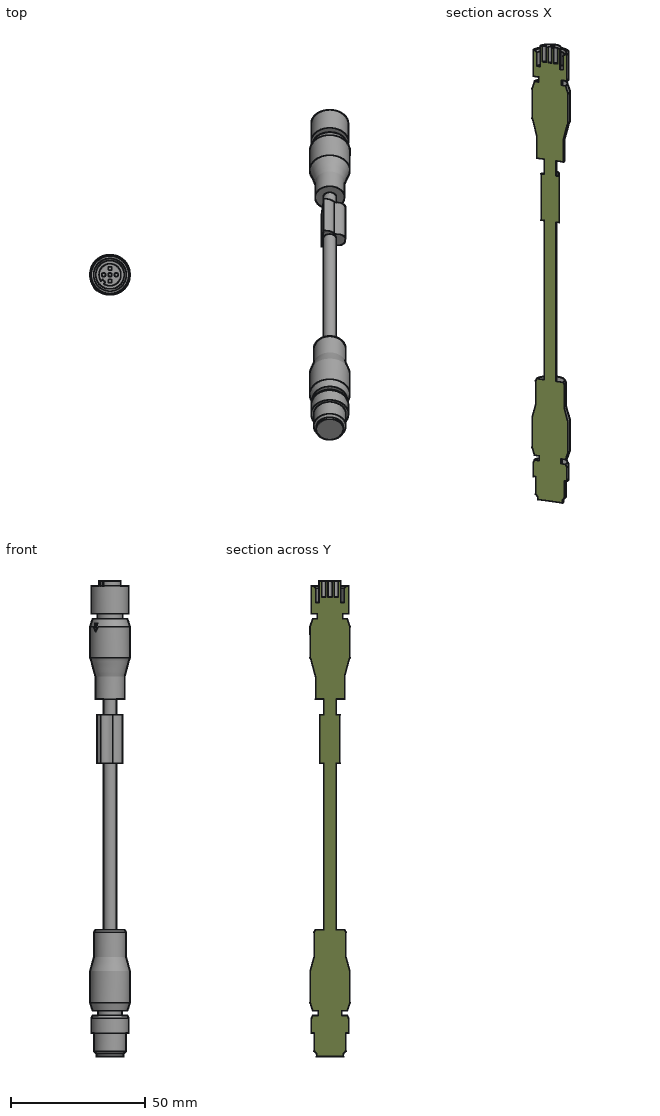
import cadquery as cq
import math

TOTAL_LENGTH = 177.31
BODY_RADIUS = 14.99 / 2
NUT_RADIUS = 7.0
SHOULDER_RADIUS = 6.5
PLUG_NECK_RADIUS = 4.5
SOCKET_NECK_RADIUS = 4.8
CABLE_RADIUS = 2.5

PLUG_TIP_RADIUS = 5.1
PLUG_THREAD_RADIUS = 6.0
PLUG_TAIL_RADIUS = 6.0
PLUG_TAIL_CHAMFER_HEIGHT = 0.9
PLUG_TAIL_CHAMFER_INSET = 0.5
PLUG_TIP_TOP = 1.1
PLUG_THREAD_BOTTOM = 2.0
PLUG_NUT_BOTTOM = 8.8
PLUG_NUT_CHAMFER_BOTTOM = 14.3
PLUG_NUT_TOP = 15.4
PLUG_BODY_BOTTOM = 17.1
PLUG_GRIP_BOTTOM = 20.1
PLUG_GRIP_TOP = 31.9
PLUG_TAIL_BOTTOM = 37.2
PLUG_TOP = 47.3

INSERT_RADIUS = 4.1
INSERT_PROUD = 1.9
SOCKET_NUT_BOTTOM = 12.3
SOCKET_BODY_TOP = 14.1
SOCKET_GRIP_TOP = 17.1
SOCKET_GRIP_BOTTOM = 28.6
SOCKET_TAPER_TOP = 29.6
SOCKET_TAPER_TOP_RADIUS = 7.1
SOCKET_TAPER_BOTTOM = 34.2
SOCKET_TAPER_BOTTOM_RADIUS = 5.9
SOCKET_TAIL_TOP = 35.6
SOCKET_TAIL_RADIUS = 5.5
SOCKET_BOTTOM = 44.1

MOUTH_RADIUS = 5.3
MOUTH_CHAMFER = 0.8
MOUTH_DEPTH = 8.0

CONTACT_DIAMETER = 1.4
OUTER_CONTACT_COUNT = 4
CONTACT_CIRCLE_RADIUS = 2.35
CONTACT_DEPTH = 6.0

MARK_ANGLE = 225

KEY_WIDTH = 1.5
KEY_DEPTH = 0.9

ARROW_TOP = 15.7
ARROW_HEAD_TOP = 17.4
ARROW_TIP = 18.9
ARROW_STEM_WIDTH = 0.9
ARROW_HEAD_WIDTH = 1.8
ARROW_PROUD = 0.1
ARROW_ROOT_RADIUS = 6.0

SLEEVE_RADIUS = 4.0
SLEEVE_TOP = 49.8
SLEEVE_LENGTH = 18.2
SLEEVE_AXIS_SETBACK = 1.5
SLEEVE_BACK = 2.7
NOSE_RADIUS = 2.75
NOSE_CENTRE = 3.2
NOSE_FLAT = 5.8


def revolve_profile(points):
    """Revolve (radius, z) points, closed along the Z axis."""
    closed = [(0, points[0][1])] + points + [(0, points[-1][1])]
    return cq.Workplane("XZ").polyline(closed).close().revolve(360, (0, 0), (0, 1))


def make_plug():
    return revolve_profile([
        (PLUG_TIP_RADIUS, 0),
        (PLUG_TIP_RADIUS, PLUG_TIP_TOP),
        (PLUG_THREAD_RADIUS, PLUG_THREAD_BOTTOM),
        (PLUG_THREAD_RADIUS, PLUG_NUT_BOTTOM),
        (NUT_RADIUS, PLUG_NUT_BOTTOM),
        (NUT_RADIUS, PLUG_NUT_CHAMFER_BOTTOM),
        (SHOULDER_RADIUS, PLUG_NUT_TOP),
        (PLUG_NECK_RADIUS, PLUG_NUT_TOP),
        (PLUG_NECK_RADIUS, PLUG_BODY_BOTTOM),
        (SHOULDER_RADIUS, PLUG_BODY_BOTTOM),
        (BODY_RADIUS, PLUG_GRIP_BOTTOM),
        (BODY_RADIUS, PLUG_GRIP_TOP),
        (PLUG_TAIL_RADIUS, PLUG_TAIL_BOTTOM),
        (PLUG_TAIL_RADIUS, PLUG_TOP - PLUG_TAIL_CHAMFER_HEIGHT),
        (PLUG_TAIL_RADIUS - PLUG_TAIL_CHAMFER_INSET, PLUG_TOP),
    ])


def make_socket():
    profile = [
        (INSERT_RADIUS, 0),
        (INSERT_RADIUS, MOUTH_DEPTH),
        (MOUTH_RADIUS, MOUTH_DEPTH),
        (MOUTH_RADIUS, INSERT_PROUD + MOUTH_CHAMFER),
        (MOUTH_RADIUS + MOUTH_CHAMFER, INSERT_PROUD),
        (NUT_RADIUS, INSERT_PROUD),
        (NUT_RADIUS, SOCKET_NUT_BOTTOM),
        (SOCKET_NECK_RADIUS, SOCKET_NUT_BOTTOM),
        (SOCKET_NECK_RADIUS, SOCKET_BODY_TOP),
        (SHOULDER_RADIUS, SOCKET_BODY_TOP),
        (BODY_RADIUS, SOCKET_GRIP_TOP),
        (BODY_RADIUS, SOCKET_GRIP_BOTTOM),
        (SOCKET_TAPER_TOP_RADIUS, SOCKET_TAPER_TOP),
        (SOCKET_TAPER_BOTTOM_RADIUS, SOCKET_TAPER_BOTTOM),
        (SOCKET_TAIL_RADIUS, SOCKET_TAIL_TOP),
        (SOCKET_TAIL_RADIUS, SOCKET_BOTTOM),
    ]
    return revolve_profile([(radius, TOTAL_LENGTH - depth) for radius, depth in profile])


def make_contact_holes():
    centres = [(0, 0)]
    for index in range(OUTER_CONTACT_COUNT):
        angle = 2 * math.pi * index / OUTER_CONTACT_COUNT
        x = CONTACT_CIRCLE_RADIUS * math.cos(angle)
        y = CONTACT_CIRCLE_RADIUS * math.sin(angle)
        centres.append((x, y))
    return (
        cq.Workplane("XY", origin=(0, 0, TOTAL_LENGTH))
        .pushPoints(centres)
        .circle(CONTACT_DIAMETER / 2)
        .extrude(-CONTACT_DEPTH)
    )


def make_cable():
    length = TOTAL_LENGTH - SOCKET_BOTTOM - PLUG_TOP
    return cq.Workplane("XY", origin=(0, 0, PLUG_TOP)).circle(CABLE_RADIUS).extrude(length)


def face_mark(shape):
    """Turn a shape built toward +X round to the marked direction."""
    return shape.rotate((0, 0, 0), (0, 0, 1), MARK_ANGLE)


def make_key_slot():
    slot = (
        cq.Workplane("XY", origin=(INSERT_RADIUS, 0, TOTAL_LENGTH))
        .rect(2 * KEY_DEPTH, KEY_WIDTH)
        .extrude(-MOUTH_DEPTH)
    )
    return face_mark(slot)


def make_arrow():
    half_stem = ARROW_STEM_WIDTH / 2
    half_head = ARROW_HEAD_WIDTH / 2
    outline = [
        (-half_stem, -ARROW_TOP),
        (half_stem, -ARROW_TOP),
        (half_stem, -ARROW_HEAD_TOP),
        (half_head, -ARROW_HEAD_TOP),
        (0, -ARROW_TIP),
        (-half_head, -ARROW_HEAD_TOP),
        (-half_stem, -ARROW_HEAD_TOP),
    ]
    outer_radius = BODY_RADIUS + ARROW_PROUD
    arrow = (
        cq.Workplane("YZ", origin=(ARROW_ROOT_RADIUS, 0, TOTAL_LENGTH))
        .polyline(outline)
        .close()
        .extrude(outer_radius - ARROW_ROOT_RADIUS)
    )
    return face_mark(arrow)


def make_sleeve():
    base = cq.Workplane("XY", origin=(0, 0, TOTAL_LENGTH - SLEEVE_TOP - SLEEVE_LENGTH))
    barrel = base.center(-SLEEVE_AXIS_SETBACK, 0).circle(SLEEVE_RADIUS).extrude(SLEEVE_LENGTH)
    back_length = SLEEVE_BACK - SLEEVE_AXIS_SETBACK
    back = (
        base.center(-(SLEEVE_BACK + SLEEVE_AXIS_SETBACK) / 2, 0)
        .rect(back_length, 2 * SLEEVE_RADIUS)
        .extrude(SLEEVE_LENGTH)
    )
    web = base.center(NOSE_CENTRE / 2, 0).rect(NOSE_CENTRE, 2 * NOSE_RADIUS).extrude(SLEEVE_LENGTH)
    nose = base.center(NOSE_CENTRE, 0).circle(NOSE_RADIUS).extrude(SLEEVE_LENGTH)
    envelope = (
        base.center((NOSE_FLAT - SLEEVE_BACK) / 2, 0)
        .rect(NOSE_FLAT + SLEEVE_BACK, 2 * SLEEVE_RADIUS)
        .extrude(SLEEVE_LENGTH)
    )
    return face_mark(barrel.union(back).union(web).union(nose).intersect(envelope))


socket = make_socket().cut(make_contact_holes()).cut(make_key_slot()).union(make_arrow())
result = make_plug().union(make_cable()).union(make_sleeve()).union(socket)